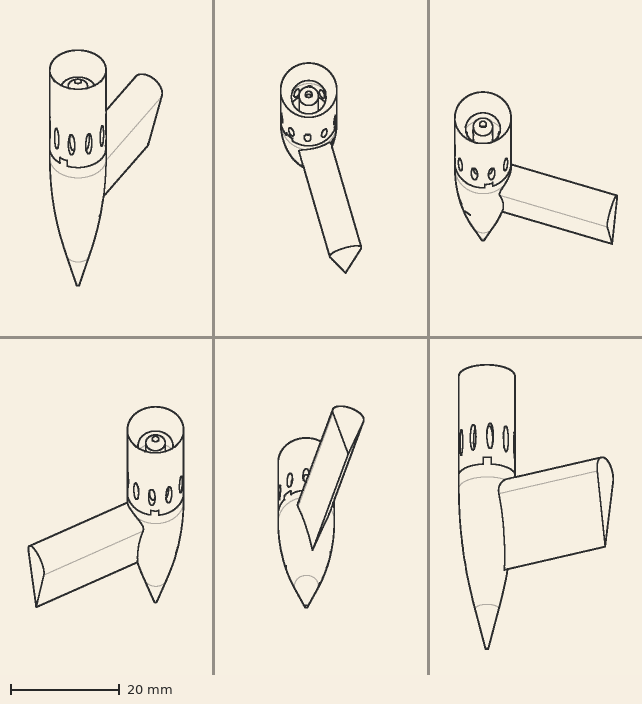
import cadquery as cq
import math

total_height = 55.0
outer_radius = 10.4 / 2

tip_radius = 0.3
cone_top_z = 8.05
cone_top_radius = 2.2
ogive_top_z = 32.4
shoulder_z = 35.0

bore_radius = 8.0 / 2
plug_top_z = 36.85
stem_radius = 3.6 / 2
spike_hole_radius = 1.2 / 2
spike_hole_depth = 2.2
spike_tip_z = 52.05
spike_cone_height = 1.2

tab_count = 3
tab_width = 1.55
tab_height = 1.4
first_tab_angle = -90.0

throat_radius = 6.4 / 2
throat_z = 50.05
bore_top_z = 45.1

vent_count = 10
vent_width = 1.2
vent_height = 5.05
vent_center_z = 40.65

fin_radius = 6.1 / 2
fin_top_z = 32.95
fin_bottom_z = 15.05
fin_end_y = 30.2 - outer_radius


def make_tab(angle):
    """Radial key from the plug wall to the outer surface, standing on the shoulder."""
    block = (
        cq.Workplane("XY", origin=(0, 0, shoulder_z))
        .center(outer_radius, 0)
        .rect(2 * outer_radius, tab_width)
        .extrude(tab_height)
        .rotate((0, 0, 0), (0, 0, 1), angle)
    )
    ring = (
        cq.Workplane("XY", origin=(0, 0, shoulder_z))
        .circle(outer_radius)
        .circle(bore_radius)
        .extrude(tab_height)
    )
    return block.intersect(ring)


def make_tabs():
    return [make_tab(first_tab_angle + index * 360 / tab_count) for index in range(tab_count)]


def make_fin():
    """Round top joined by tangent flats to a sharp lower edge, running along +Y."""
    center_z = fin_top_z - fin_radius
    apex_distance = center_z - fin_bottom_z
    tangent_drop = fin_radius**2 / apex_distance
    tangent_x = math.sqrt(fin_radius**2 - tangent_drop**2)
    tangent_z = center_z - tangent_drop
    return (
        cq.Workplane("XZ")
        .moveTo(0, fin_bottom_z)
        .lineTo(tangent_x, tangent_z)
        .threePointArc((0, fin_top_z), (-tangent_x, tangent_z))
        .close()
        .extrude(-fin_end_y)
    )


def make_pointed_body():
    ogive_height = ogive_top_z - cone_top_z
    ogive_inset = outer_radius - cone_top_radius
    ogive_radius = (ogive_height**2 + ogive_inset**2) / (2 * ogive_inset)
    half_angle = math.asin(ogive_height / ogive_radius) / 2
    ogive_middle = (
        outer_radius - ogive_radius * (1 - math.cos(half_angle)),
        ogive_top_z - ogive_radius * math.sin(half_angle),
    )

    flare_radius = bore_radius - stem_radius
    flare_top_z = plug_top_z + flare_radius
    flare_middle = (
        bore_radius - flare_radius * math.sqrt(0.5),
        flare_top_z - flare_radius * math.sqrt(0.5),
    )

    body = (
        cq.Workplane("XZ")
        .moveTo(0, 0)
        .lineTo(tip_radius, 0)
        .lineTo(cone_top_radius, cone_top_z)
        .threePointArc(ogive_middle, (outer_radius, ogive_top_z))
        .lineTo(outer_radius, shoulder_z)
        .lineTo(bore_radius, shoulder_z)
        .lineTo(bore_radius, plug_top_z)
        .threePointArc(flare_middle, (stem_radius, flare_top_z))
        .lineTo(stem_radius, spike_tip_z - spike_cone_height)
        .lineTo(spike_hole_radius, spike_tip_z)
        .lineTo(spike_hole_radius, spike_tip_z - spike_hole_depth)
        .lineTo(0, spike_tip_z - spike_hole_depth)
        .close()
        .revolve(360, (0, 0, 0), (0, 1, 0))
        .union(make_fin())
    )
    for tab in make_tabs():
        body = body.union(tab)
    return body


def make_vent(angle):
    return (
        cq.Workplane("YZ", origin=(0, 0, vent_center_z))
        .ellipse(vent_width / 2, vent_height / 2)
        .extrude(2 * outer_radius)
        .rotate((0, 0, 0), (0, 0, 1), angle)
    )


def make_nozzle_tube():
    """Tube whose bore narrows to a throat and then opens to a sharp rim."""
    tube = (
        cq.Workplane("XZ")
        .moveTo(bore_radius, shoulder_z)
        .lineTo(outer_radius, shoulder_z)
        .lineTo(outer_radius, total_height)
        .lineTo(throat_radius, throat_z)
        .lineTo(bore_radius, bore_top_z)
        .close()
        .revolve(360, (0, 0, 0), (0, 1, 0))
    )
    for index in range(vent_count):
        tube = tube.cut(make_vent(index * 360 / vent_count))
    for tab in make_tabs():
        tube = tube.cut(tab)
    return tube


pointed_body = make_pointed_body()
nozzle_tube = make_nozzle_tube()

result = cq.Compound.makeCompound([pointed_body.val(), nozzle_tube.val()])